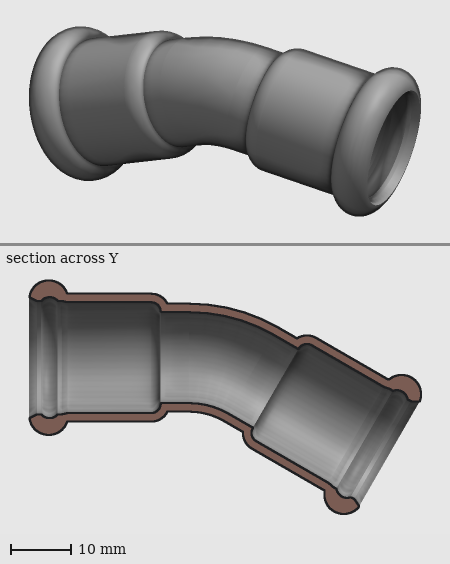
import cadquery as cq
import math

bend_angle = 30.0
bend_radius = 20.5
tube_outer_radius = 18.0 / 2
tube_bore_radius = 15.0 / 2

leg_length = 26.5
socket_outer_radius = 21.3 / 2
socket_bore_radius = 18.3 / 2
shoulder_depth = 20.2

bead_radius = 3.25
bead_ring_radius = 25.7 / 2 - bead_radius
bead_end_depth = bead_radius + math.sqrt(bead_radius**2 - (socket_outer_radius - bead_ring_radius) ** 2)

mouth_radius = 10.0
lip_radius = 18.7 / 2
mouth_cone_depth = 1.3
groove_start_depth = 2.0
groove_end_depth = 4.75
groove_center_depth = (groove_start_depth + groove_end_depth) / 2
groove_height = 0.65
inner_lip_depth = 5.45
bore_start_depth = 6.35

inner_shoulder_radius = 1.55
shoulder_ring_radius = socket_bore_radius - inner_shoulder_radius
outer_shoulder_radius = socket_outer_radius - shoulder_ring_radius


def shoulder_point(arc_radius, angle):
    """Point on a shoulder arc, with the angle turned from radial toward the tube."""
    return (
        shoulder_depth + arc_radius * math.sin(angle),
        shoulder_ring_radius + arc_radius * math.cos(angle),
    )


def make_leg():
    """Socket and straight tube end: mouth at the origin, running along +X."""
    outer_sweep = math.acos((tube_outer_radius - shoulder_ring_radius) / outer_shoulder_radius)
    inner_sweep = math.acos((tube_bore_radius - shoulder_ring_radius) / inner_shoulder_radius)
    profile = (
        cq.Workplane("XY")
        .moveTo(0, mouth_radius)
        .threePointArc((bead_radius, bead_ring_radius + bead_radius), (bead_end_depth, socket_outer_radius))
        .lineTo(shoulder_depth, socket_outer_radius)
        .threePointArc(
            shoulder_point(outer_shoulder_radius, outer_sweep / 2),
            shoulder_point(outer_shoulder_radius, outer_sweep),
        )
        .lineTo(leg_length, tube_outer_radius)
        .lineTo(leg_length, tube_bore_radius)
        .lineTo(*shoulder_point(inner_shoulder_radius, inner_sweep))
        .threePointArc(
            shoulder_point(inner_shoulder_radius, inner_sweep / 2),
            (shoulder_depth, socket_bore_radius),
        )
        .lineTo(bore_start_depth, socket_bore_radius)
        .lineTo(inner_lip_depth, lip_radius)
        .lineTo(groove_end_depth, lip_radius)
        .threePointArc(
            (groove_center_depth, lip_radius + groove_height),
            (groove_start_depth, lip_radius),
        )
        .lineTo(mouth_cone_depth, lip_radius)
        .close()
    )
    return profile.revolve(360, (0, 0, 0), (1, 0, 0))


def make_bend():
    """Curved tube from the origin toward -X, falling toward -Z."""
    return (
        cq.Workplane("YZ")
        .circle(tube_outer_radius)
        .circle(tube_bore_radius)
        .revolve(bend_angle, (0, -bend_radius, 0), (-1, -bend_radius, 0))
    )


level_leg = make_leg().mirror("YZ").translate((leg_length, 0, 0))
bend_center = (0, 0, -bend_radius)
sloped_leg = (
    make_leg()
    .translate((-leg_length, 0, 0))
    .rotate(bend_center, (0, 1, -bend_radius), -bend_angle)
)
result = make_bend().union(level_leg).union(sloped_leg)